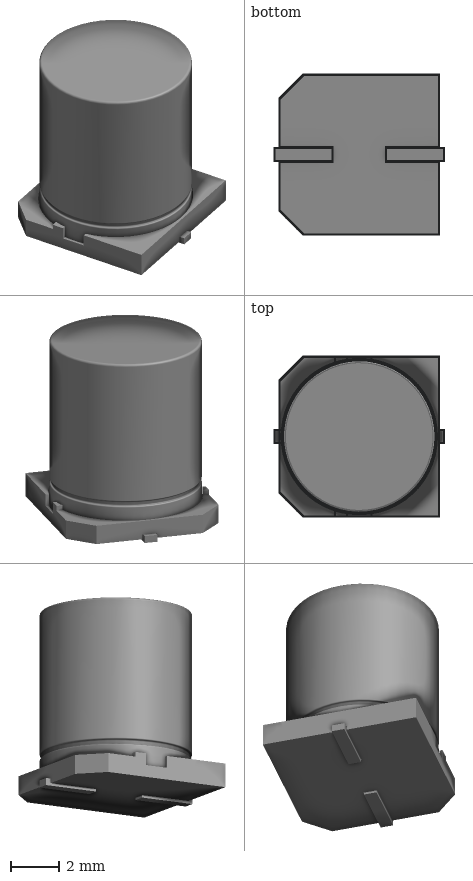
import cadquery as cq

total_height = 7.7
lead_span = 7.0

can_radius = 3.15
rim_fillet = 0.1
groove_bottom = 1.5
groove_top = 1.7
groove_depth = 0.1

base_size = 6.6
base_bottom = 0.1
base_top = 1.1
corner_chamfer = 1.0
low_side_top = 0.9
low_side_end_x = -1.0
pocket_clearance = 0.05
pocket_floor = 0.3
notch_width = 1.0
notch_floor = 0.6

lead_width = 0.54
lead_top = 0.3
lead_gap = 2.2
lead_slot_width = 0.6


def centered(width):
    """Limits of a span of the given width centred on zero."""
    return (-width / 2, width / 2)


def lead_sides(outer_span):
    """X limits of the left and right lead, from the centre gap out to the given span."""
    return ((-outer_span / 2, -lead_gap / 2), (lead_gap / 2, outer_span / 2))


def box_between(x_limits, y_limits, z_limits):
    """Axis-aligned box from its (low, high) limits on each axis."""
    size = [high - low for low, high in (x_limits, y_limits, z_limits)]
    low_corner = (x_limits[0], y_limits[0], z_limits[0])
    return cq.Workplane("XY").box(*size, centered=False).translate(low_corner)


def make_can():
    """Round can with a rounded top rim and a crimp groove whose walls are S-curves."""
    bend = groove_depth / 2
    shoulder_radius = can_radius - bend
    groove_radius = can_radius - groove_depth
    profile = (
        cq.Workplane("XZ")
        .moveTo(0, pocket_floor)
        .lineTo(can_radius, pocket_floor)
        .lineTo(can_radius, groove_bottom - bend)
        .tangentArcPoint((shoulder_radius, groove_bottom), relative=False)
        .tangentArcPoint((groove_radius, groove_bottom + bend), relative=False)
        .lineTo(groove_radius, groove_top - bend)
        .tangentArcPoint((shoulder_radius, groove_top), relative=False)
        .tangentArcPoint((can_radius, groove_top + bend), relative=False)
        .lineTo(can_radius, total_height - rim_fillet)
        .tangentArcPoint((can_radius - rim_fillet, total_height), relative=False)
        .lineTo(0, total_height)
        .close()
    )
    return profile.revolve(360, (0, 0, 0), (0, 1, 0))


def make_base():
    """Square base with two cut corners, a lower -X side, a round pocket, notches and lead slots."""
    base = (
        cq.Workplane("XY")
        .workplane(offset=base_bottom)
        .rect(base_size, base_size)
        .extrude(base_top - base_bottom)
        .edges("|Z and <X")
        .chamfer(corner_chamfer)
    )
    full_width = centered(base_size)
    low_side = box_between((-base_size / 2, low_side_end_x), full_width, (low_side_top, base_top))
    notches = box_between(centered(notch_width), full_width, (notch_floor, base_top))
    pocket = (
        cq.Workplane("XY")
        .workplane(offset=pocket_floor)
        .circle(can_radius + pocket_clearance)
        .extrude(base_top - pocket_floor)
    )
    base = base.cut(low_side).cut(notches).cut(pocket)
    for x_limits in lead_sides(base_size):
        slot = box_between(x_limits, centered(lead_slot_width), (base_bottom, lead_top))
        base = base.cut(slot)
    return base


def make_leads():
    """Two flat leads set into the base slots and sticking out at either end."""
    leads = cq.Workplane("XY")
    for x_limits in lead_sides(lead_span):
        leads = leads.union(box_between(x_limits, centered(lead_width), (0, lead_top)))
    return leads


result = make_base().union(make_can()).union(make_leads())